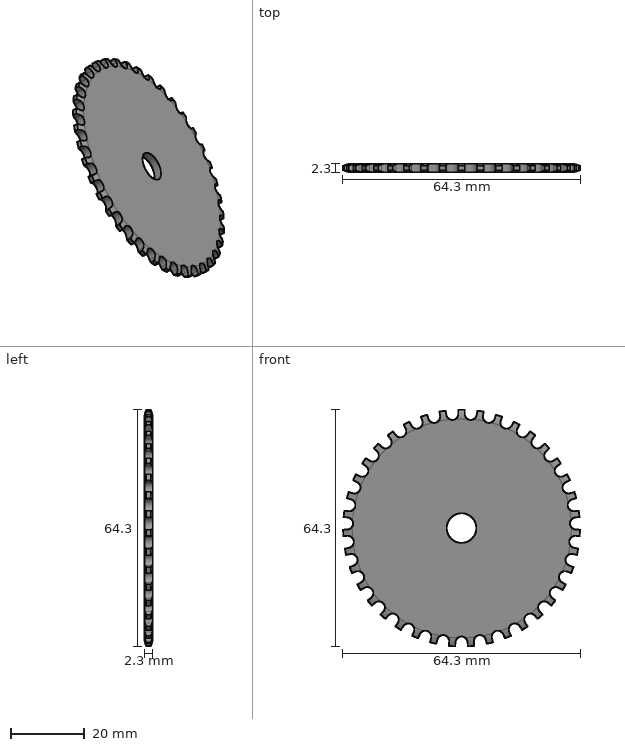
import cadquery as cq
import math

tooth_count = 39
tip_radius = 32.15
thickness = 2.3
bore_diameter = 8.0
gap_radius = 1.6
gap_center_radius = 31.05
round_start_radius = 29.7
tip_width = 1.15

half_thickness = thickness / 2
half_tip_width = tip_width / 2
round_length = tip_radius - round_start_radius
side_drop = half_thickness - half_tip_width
side_radius = (round_length**2 + side_drop**2) / (2 * side_drop)
pitch_angle = 360 / tooth_count


def side_arc_middle():
    """Radius and Y of a point halfway round the arc of a tooth side."""
    half_angle = math.asin(round_length / side_radius) / 2
    radius = round_start_radius + side_radius * math.sin(half_angle)
    offset = half_thickness - side_radius * (1 - math.cos(half_angle))
    return radius, offset


def make_blank():
    """Disc with a bore and rounded rim sides, revolved about the Y axis."""
    bore_radius = bore_diameter / 2
    middle_radius, middle_offset = side_arc_middle()
    profile = (
        cq.Workplane("XY")
        .moveTo(bore_radius, -half_thickness)
        .lineTo(round_start_radius, -half_thickness)
        .threePointArc((middle_radius, -middle_offset), (tip_radius, -half_tip_width))
        .lineTo(tip_radius, half_tip_width)
        .threePointArc((middle_radius, middle_offset), (round_start_radius, half_thickness))
        .lineTo(bore_radius, half_thickness)
        .close()
    )
    return profile.revolve(360, (0, 0, 0), (0, 1, 0))


def make_gap():
    """Cutter for the tooth gap centred on +Z: a round seat whose flanks run on as tangent lines.

    Each flank is parallel to the centre line of its own tooth, so the teeth keep an even width.
    """
    flank_angle = math.radians(pitch_angle / 2)
    seat_end_x = gap_radius * math.cos(flank_angle)
    seat_end_z = gap_center_radius - gap_radius * math.sin(flank_angle)
    outer_z = tip_radius + gap_radius
    outer_x = seat_end_x + (outer_z - seat_end_z) * math.tan(flank_angle)
    return (
        cq.Workplane("XZ")
        .moveTo(-outer_x, outer_z)
        .lineTo(-seat_end_x, seat_end_z)
        .threePointArc((0, gap_center_radius - gap_radius), (seat_end_x, seat_end_z))
        .lineTo(outer_x, outer_z)
        .close()
        .extrude(half_thickness, both=True)
    )


gap = make_gap()
gaps = []
for index in range(tooth_count):
    angle = (index + 0.5) * pitch_angle
    gaps.append(gap.rotate((0, 0, 0), (0, 1, 0), angle).val())

cutters = cq.Workplane(cq.Compound.makeCompound(gaps))
result = make_blank().cut(cutters)